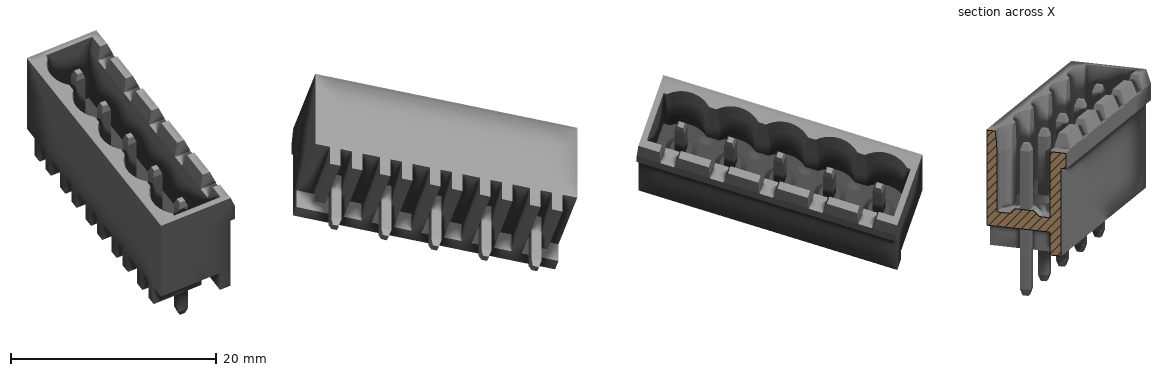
import cadquery as cq

length = 26.6
body_depth = 7.8
body_height = 12.1

pin_count = 5
pitch = 5.08
pin_y = 4.0
pin_width = 1.0
pin_tip_width = 0.59
pin_taper = 0.7
pin_bottom = -4.5
pin_top = body_height - 1.1
pin_x_places = [length / 2 + (i - (pin_count - 1) / 2) * pitch for i in range(pin_count)]

end_wall = 0.6
front_wall = 1.78
back_wall = 1.2
socket_depth = 8.25
socket_floor = body_height - socket_depth
socket_back = body_depth - back_wall

bay_rim_radius = 3.09
bay_radius = 2.9
bay_taper_depth = 2.4

collar_base_diameter = 3.2
collar_top_diameter = 2.18
collar_height = 0.53

lip_overhang = 0.5
lip_height = 3.1
lip_taper = 1.4

notch_depth = 1.5
notch_floor_width = 1.38
notch_rim_width = 1.97
rim_bevel = 0.4

foot_height = 2.35
end_leg_depth = 5.37
leg_width = 1.06
leg_offset = 1.12


def make_shell():
    """Body with the latching lip, as one profile along X."""
    lip_back = body_depth + lip_overhang
    return (
        cq.Workplane("YZ")
        .polyline([
            (0, 0),
            (body_depth, 0),
            (body_depth, body_height - lip_height),
            (lip_back, body_height - lip_height),
            (lip_back, body_height - lip_taper),
            (body_depth, body_height),
            (0, body_height),
        ])
        .close()
        .extrude(length)
    )


def make_bay(x):
    """Round bay around a pin: a cylinder with a wider cone at the rim."""
    cone_bottom = body_height - bay_taper_depth
    profile = (
        cq.Workplane("XZ")
        .polyline([
            (0, socket_floor),
            (bay_radius, socket_floor),
            (bay_radius, cone_bottom),
            (bay_rim_radius, body_height),
            (0, body_height),
        ])
        .close()
    )
    bay = profile.revolve(360, (0, 0), (0, 1)).translate((x, pin_y, 0))
    front_half = cq.Workplane("XY").box(length - 2 * end_wall, pin_y, body_height, centered=False)
    return bay.intersect(front_half.translate((end_wall, 0, 0)))


def make_socket():
    """Space taken out of the body from above, with the bevel on its back edge."""
    socket = (
        cq.Workplane("YZ")
        .workplane(offset=end_wall)
        .polyline([
            (front_wall, socket_floor),
            (socket_back, socket_floor),
            (socket_back, body_height - notch_depth),
            (socket_back + rim_bevel, body_height),
            (front_wall, body_height),
        ])
        .close()
        .extrude(length - 2 * end_wall)
    )
    for x in pin_x_places:
        socket = socket.union(make_bay(x))
    return socket


def make_notch(x):
    """Notch with sloping sides through the back rim and the lip."""
    notch_bottom = body_height - notch_depth
    return (
        cq.Workplane("XZ", origin=(x, socket_back, 0))
        .polyline([
            (-notch_floor_width / 2, notch_bottom),
            (notch_floor_width / 2, notch_bottom),
            (notch_rim_width / 2, body_height),
            (-notch_rim_width / 2, body_height),
        ])
        .close()
        .extrude(-(back_wall + lip_overhang))
    )


def make_foot_space():
    """Space under the body in front of the back foot, with the legs left standing."""
    space = cq.Workplane("XY").box(length, socket_back, foot_height, centered=False)
    leg_x_places = [x + side * leg_offset for x in pin_x_places for side in (-1, 1)]
    for x in leg_x_places:
        is_end_leg = x in (leg_x_places[0], leg_x_places[-1])
        depth = end_leg_depth if is_end_leg else socket_back
        leg = cq.Workplane("XY").box(leg_width, depth, foot_height, centered=(True, False, False))
        space = space.cut(leg.translate((x, 0, 0)))
    return space


def make_collar(x):
    """Cone-shaped collar on the socket floor."""
    return (
        cq.Workplane("XY", origin=(x, pin_y, socket_floor))
        .circle(collar_base_diameter / 2)
        .workplane(offset=collar_height)
        .circle(collar_top_diameter / 2)
        .loft(ruled=True)
    )


def make_pin(x):
    """Square pin, tapered at both ends."""
    widths = [pin_tip_width, pin_width, pin_width, pin_tip_width]
    steps = [pin_taper, pin_top - pin_bottom - 2 * pin_taper, pin_taper]
    pin = cq.Workplane("XY", origin=(x, pin_y, pin_bottom)).rect(widths[0], widths[0])
    for width, step in zip(widths[1:], steps):
        pin = pin.workplane(offset=step).rect(width, width)
    return pin.loft(ruled=True)


result = make_shell().cut(make_socket()).cut(make_foot_space())
for pin_x in pin_x_places:
    result = result.cut(make_notch(pin_x)).union(make_collar(pin_x)).union(make_pin(pin_x))